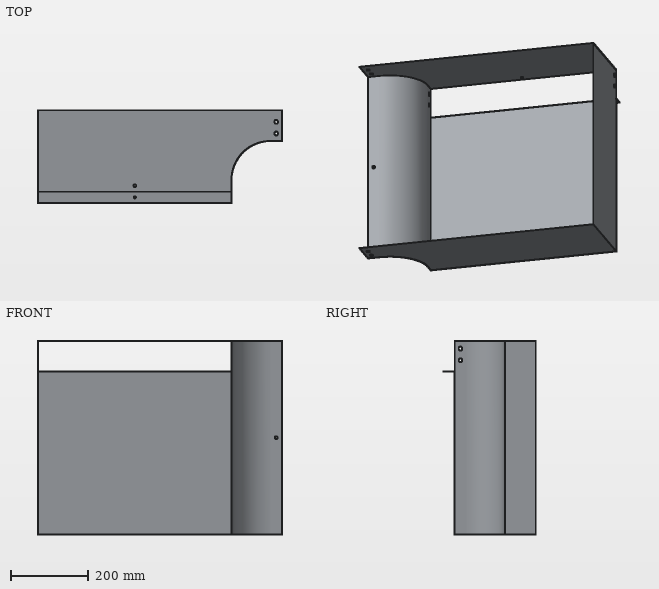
import cadquery as cq
import math

LENGTH = 630.0
DEPTH = 240.0
HEIGHT = 500.0
SHEET = 1.0

FRONT_LENGTH = 500.0
PANEL_HEIGHT = 420.0
LIP_DEPTH = 30.0

CORNER_RADIUS = 100.0
END_DEPTH = 80.0

BOLT_DIAMETER = 7.0
SCREW_DIAMETER = 5.0
HOLE_INSET = 15.0
SLOT_LENGTH = 10.0
SLOT_WIDTH = 8.0
SLOT_PITCH = 30.0
SIDE_SLOT_DROP = 20.0
END_SLOT_SETBACK = 30.0

FRONT_Y = LIP_DEPTH
CORNER_Y = DEPTH - END_DEPTH
CORNER_CENTER_X = FRONT_LENGTH + CORNER_RADIUS
CORNER_CENTER_Y = CORNER_Y - CORNER_RADIUS
HOLE_Y = FRONT_Y + HOLE_INSET
HOLE_END_X = LENGTH - HOLE_INSET


def box(x_range, y_range, z_range):
    """Axis-aligned block spanning the given ranges."""
    sizes = [high - low for low, high in (x_range, y_range, z_range)]
    corner = (x_range[0], y_range[0], z_range[0])
    return cq.Workplane("XY").box(*sizes, centered=False).translate(corner)


def corner_arc_middle(radius):
    """Middle point of the quarter arc about the corner centre."""
    offset = radius * math.sqrt(0.5)
    return (CORNER_CENTER_X - offset, CORNER_CENTER_Y + offset)


def corner_edge(bottom_z):
    """Open outline along the concave corner, from the front panel to the right-hand end."""
    return (
        cq.Workplane("XY", origin=(0, 0, bottom_z))
        .moveTo(FRONT_LENGTH, FRONT_Y)
        .lineTo(FRONT_LENGTH, CORNER_CENTER_Y)
        .threePointArc(corner_arc_middle(CORNER_RADIUS), (CORNER_CENTER_X, CORNER_Y))
        .lineTo(LENGTH, CORNER_Y)
    )


def horizontal_plate(bottom_z):
    """Top or bottom plate, with its front right corner scooped out."""
    return (
        corner_edge(bottom_z)
        .lineTo(LENGTH, DEPTH)
        .lineTo(0, DEPTH)
        .lineTo(0, FRONT_Y)
        .close()
        .extrude(SHEET)
    )


def corner_wall():
    """Upright sheet that follows the concave corner over the full height."""
    inner_radius = CORNER_RADIUS + SHEET
    inner_x = FRONT_LENGTH - SHEET
    inner_y = CORNER_Y + SHEET
    return (
        corner_edge(0)
        .lineTo(LENGTH, inner_y)
        .lineTo(CORNER_CENTER_X, inner_y)
        .threePointArc(corner_arc_middle(inner_radius), (inner_x, CORNER_CENTER_Y))
        .lineTo(inner_x, FRONT_Y)
        .close()
        .extrude(HEIGHT)
    )


def housing_shell():
    """All sheets joined; the back is open and a window remains above the lip."""
    left_wall = box((0, SHEET), (FRONT_Y, DEPTH), (0, HEIGHT))
    front_panel = box((0, FRONT_LENGTH), (FRONT_Y - SHEET, FRONT_Y), (0, PANEL_HEIGHT))
    lip = box((0, FRONT_LENGTH), (0, FRONT_Y), (PANEL_HEIGHT, PANEL_HEIGHT + SHEET))
    shell = horizontal_plate(0)
    for sheet in (horizontal_plate(HEIGHT - SHEET), corner_wall(), left_wall, front_panel, lip):
        shell = shell.union(sheet)
    return shell


def side_slots():
    """Pair of upright slots through the left wall and the wall facing it."""
    top_z = HEIGHT - SIDE_SLOT_DROP
    return (
        cq.Workplane("YZ")
        .pushPoints([(HOLE_Y, top_z), (HOLE_Y, top_z - SLOT_PITCH)])
        .slot2D(SLOT_LENGTH, SLOT_WIDTH, 90)
        .extrude(FRONT_LENGTH)
    )


def end_slots():
    """Pair of slots through the top and bottom plates at the right-hand end."""
    back_y = DEPTH - END_SLOT_SETBACK
    return (
        cq.Workplane("XY")
        .pushPoints([(HOLE_END_X, back_y), (HOLE_END_X, back_y - SLOT_PITCH)])
        .slot2D(SLOT_LENGTH, SLOT_WIDTH, 90)
        .extrude(HEIGHT)
    )


def vertical_hole(y, bottom_z, diameter):
    """Hole through one horizontal sheet, halfway along the front panel."""
    return (
        cq.Workplane("XY", origin=(FRONT_LENGTH / 2, y, bottom_z))
        .circle(diameter / 2)
        .extrude(SHEET)
    )


def end_hole():
    """Hole through the flat end of the corner wall, at mid height."""
    return (
        cq.Workplane("XZ", origin=(HOLE_END_X, CORNER_Y + SHEET, HEIGHT / 2))
        .circle(BOLT_DIAMETER / 2)
        .extrude(SHEET)
    )


result = (
    housing_shell()
    .cut(side_slots())
    .cut(end_slots())
    .cut(vertical_hole(HOLE_Y, HEIGHT - SHEET, BOLT_DIAMETER))
    .cut(vertical_hole(LIP_DEPTH / 2, PANEL_HEIGHT, SCREW_DIAMETER))
    .cut(end_hole())
)